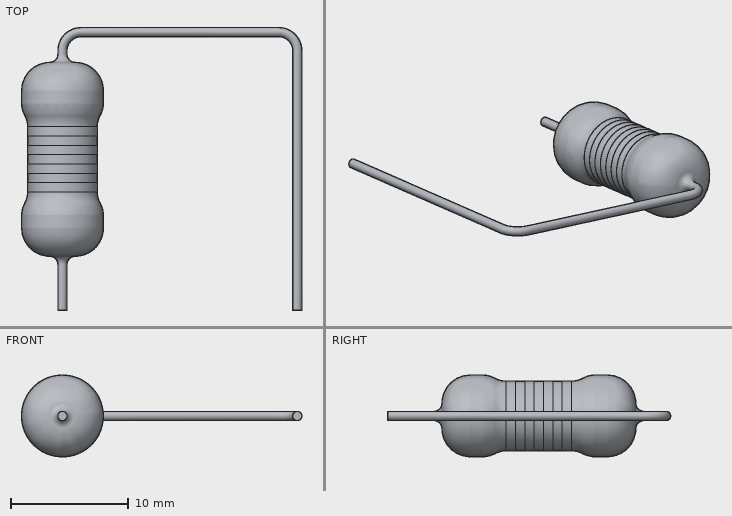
import cadquery as cq
import math


cap_radius = 7.0 / 2
groove_radius = 5.95 / 2
band_radius = 5.98 / 2
band_width = 0.8
band_count = 4
body_half_length = 8.27
shoulder_outer_y = 4.75

lead_radius = 0.8 / 2
flare_radius = 0.67
bend_radius = 1.6
lead_spacing = 20.0
lead_tip_y = -12.87
rear_y = 11.23

shoulder_inner_y = (2 * band_count - 1) * band_width / 2
flare_base_radius = lead_radius + flare_radius
cap_round = cap_radius - flare_base_radius
flare_end_y = body_half_length + flare_radius
cross_lead_y = rear_y - lead_radius


def make_end(direction):
    """Revolve one cap with its shoulder and flare about Y; direction is +1 or -1."""
    diagonal = math.sqrt(0.5)
    shoulder_mid_y = (shoulder_inner_y + shoulder_outer_y) / 2
    shoulder_mid_radius = (groove_radius + cap_radius) / 2
    shoulder_rise = shoulder_mid_radius - groove_radius
    shoulder_run = shoulder_mid_y - shoulder_inner_y
    shoulder_arc_radius = (shoulder_run**2 + shoulder_rise**2) / (2 * shoulder_rise)
    half_angle = math.atan(shoulder_rise / shoulder_run)
    shoulder_bulge = shoulder_arc_radius * (1 - math.cos(half_angle))
    shoulder_bulge_y = shoulder_arc_radius * math.sin(half_angle)

    cap_round_y = body_half_length - cap_round

    def point(radius, y):
        return (radius, direction * y)

    profile = (
        cq.Workplane("XY")
        .moveTo(*point(0, shoulder_inner_y))
        .lineTo(*point(groove_radius, shoulder_inner_y))
        .threePointArc(
            point(groove_radius + shoulder_bulge, shoulder_inner_y + shoulder_bulge_y),
            point(shoulder_mid_radius, shoulder_mid_y),
        )
        .tangentArcPoint(point(cap_radius, shoulder_outer_y), relative=False)
        .lineTo(*point(cap_radius, cap_round_y))
        .threePointArc(
            point(flare_base_radius + cap_round * diagonal, cap_round_y + cap_round * diagonal),
            point(flare_base_radius, body_half_length),
        )
        .threePointArc(
            point(flare_base_radius - flare_radius * diagonal, flare_end_y - flare_radius * diagonal),
            point(lead_radius, flare_end_y),
        )
        .lineTo(*point(0, flare_end_y))
        .close()
    )
    return profile.revolve(360, (0, 0, 0), (0, 1, 0))


def make_cylinder(radius, start_y, end_y):
    """Cylinder on the body axis."""
    return (
        cq.Workplane("XZ", origin=(0, start_y, 0))
        .circle(radius)
        .extrude(start_y - end_y)
    )


def make_bent_lead():
    """Rear lead: out of the body, across, and back past the body."""
    bend_start_y = cross_lead_y - bend_radius
    path = (
        cq.Workplane("XY")
        .moveTo(0, flare_end_y)
        .lineTo(0, bend_start_y)
        .tangentArcPoint((bend_radius, cross_lead_y), relative=False)
        .lineTo(lead_spacing - bend_radius, cross_lead_y)
        .tangentArcPoint((lead_spacing, bend_start_y), relative=False)
        .lineTo(lead_spacing, lead_tip_y)
    )
    return cq.Workplane("XZ", origin=(0, flare_end_y, 0)).circle(lead_radius).sweep(path)


result = make_cylinder(groove_radius, -shoulder_inner_y, shoulder_inner_y)
for direction in (1, -1):
    result = result.union(make_end(direction))

band_pitch = 2 * band_width
for index in range(band_count):
    band_centre_y = (index - (band_count - 1) / 2) * band_pitch
    band = make_cylinder(band_radius, band_centre_y - band_width / 2, band_centre_y + band_width / 2)
    result = result.union(band)

result = result.union(make_cylinder(lead_radius, lead_tip_y, -flare_end_y))
result = result.union(make_bent_lead())